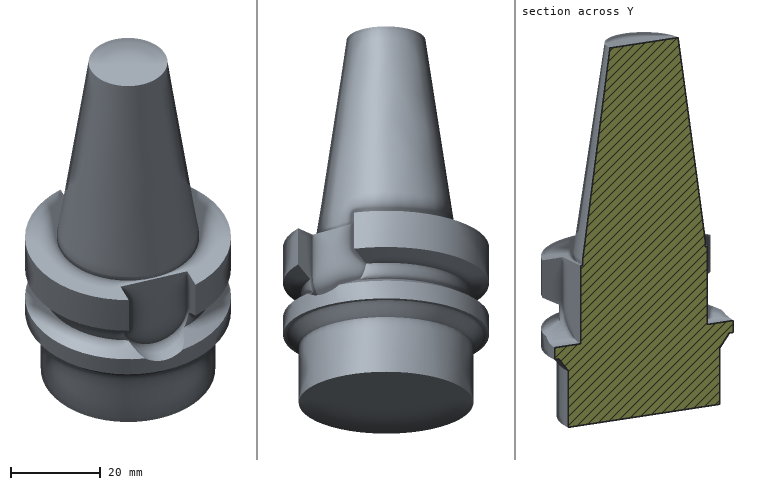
import cadquery as cq

total_height = 86.4
taper_length = 48.4
taper_ratio = 7 / 24
gauge_diameter = 31.7
collar_height = 0.95

flange_diameter = 46.0
flange_height = 20.9
upper_rim_height = 8.6
groove_diameter = 37.9
groove_floor_height = 3.5
groove_wall_height = 2.25
groove_mouth_height = groove_floor_height + 2 * groove_wall_height

nose_diameter = 39.0
cone_top_diameter = 43.9
cone_height = 3.1

slot_width = 15.9
slot_depth = 18.1
slot_floor_x = 16.3

gauge_z = total_height - taper_length
flange_top_z = gauge_z - collar_height
flange_bottom_z = flange_top_z - flange_height
nose_top_z = flange_bottom_z - cone_height
groove_top_z = flange_top_z - upper_rim_height
groove_bottom_z = groove_top_z - groove_mouth_height


def make_body():
    """Revolve the half outline of the holder around Z."""
    tip_radius = (gauge_diameter - taper_length * taper_ratio) / 2
    gauge_radius = gauge_diameter / 2
    flange_radius = flange_diameter / 2
    groove_radius = groove_diameter / 2
    nose_radius = nose_diameter / 2
    outline = [
        (0, 0),
        (nose_radius, 0),
        (nose_radius, nose_top_z),
        (cone_top_diameter / 2, flange_bottom_z),
        (flange_radius, flange_bottom_z),
        (flange_radius, groove_bottom_z),
        (groove_radius, groove_bottom_z + groove_wall_height),
        (groove_radius, groove_top_z - groove_wall_height),
        (flange_radius, groove_top_z),
        (flange_radius, flange_top_z),
        (gauge_radius, flange_top_z),
        (gauge_radius, gauge_z),
        (tip_radius, total_height),
        (0, total_height),
    ]
    return cq.Workplane("XZ").polyline(outline).close().revolve(360, (0, 0), (0, 1))


def make_drive_slot():
    """Cutter for the +X drive slot: open at the top, round at the bottom."""
    half_width = slot_width / 2
    round_end_z = flange_top_z - slot_depth
    round_center_z = round_end_z + half_width
    return (
        cq.Workplane("YZ", origin=(slot_floor_x, 0, 0))
        .moveTo(-half_width, flange_top_z)
        .lineTo(-half_width, round_center_z)
        .threePointArc((0, round_end_z), (half_width, round_center_z))
        .lineTo(half_width, flange_top_z)
        .close()
        .extrude(flange_diameter / 2)
    )


result = make_body()
for slot_angle in (0, 180):
    result = result.cut(make_drive_slot().rotate((0, 0, 0), (0, 0, 1), slot_angle))